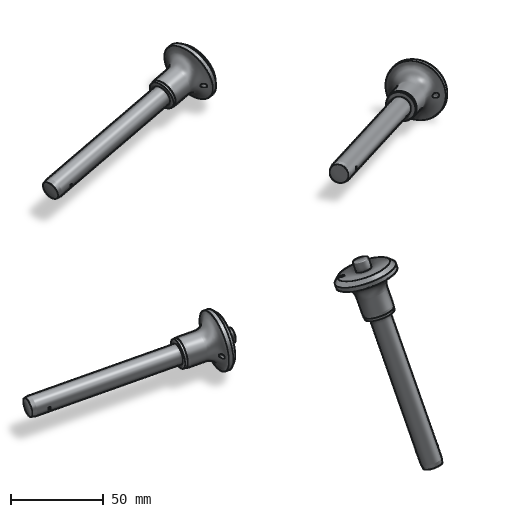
import cadquery as cq
import math


shank_radius = 12.0 / 2
shank_length = 91.1
tip_length = 2.7
tip_radius = 5.5

collar_radius = 17.8 / 2
collar_lip_radius = 17.1 / 2
collar_lip_length = 1.6
collar_taper_length = 1.8
collar_taper_end_radius = 8.75
collar_straight_length = 10.0

head_radius = 35.0 / 2
rim_width = 2.7
head_chamfer = 2.5
flare_radius = head_radius - collar_radius

button_radius = 8.9 / 2
button_edge_fillet = 0.5
overall_length = 124.2

lanyard_hole_radius = 1.5
lanyard_hole_offset = 12.5

ball_radius = 2.0
ball_protrusion = 0.2
ball_from_tip = 10.1

tip_y = -shank_length
button_end_y = overall_length - shank_length
taper_start_y = collar_lip_length
collar_start_y = taper_start_y + collar_taper_length
flare_start_y = collar_start_y + collar_straight_length
rim_start_y = flare_start_y + flare_radius
chamfer_start_y = rim_start_y + rim_width
head_top_y = chamfer_start_y + head_chamfer


def revolve_about_y(profile):
    """Close a half profile along the Y axis and turn it into a solid."""
    return profile.close().revolve(360, (0, 0, 0), (0, 1, 0))


def make_shank():
    profile = (
        cq.Workplane("XY")
        .moveTo(0, tip_y)
        .lineTo(tip_radius, tip_y)
        .lineTo(shank_radius, tip_y + tip_length)
        .lineTo(shank_radius, flare_start_y)
        .lineTo(0, flare_start_y)
    )
    return revolve_about_y(profile)


def make_handle():
    """Collar, concave quarter-circle flare and chamfered head."""
    quarter_arc_drop = flare_radius * math.sin(math.pi / 4)
    flare_middle = (head_radius - quarter_arc_drop, flare_start_y + quarter_arc_drop)
    profile = (
        cq.Workplane("XY")
        .lineTo(collar_lip_radius, 0)
        .lineTo(collar_lip_radius, taper_start_y)
        .lineTo(collar_taper_end_radius, taper_start_y)
        .lineTo(collar_radius, collar_start_y)
        .lineTo(collar_radius, flare_start_y)
        .threePointArc(flare_middle, (head_radius, rim_start_y))
        .lineTo(head_radius, chamfer_start_y)
        .lineTo(head_radius - head_chamfer, head_top_y)
        .lineTo(0, head_top_y)
    )
    return revolve_about_y(profile)


def make_button():
    button = (
        cq.Workplane("XZ", origin=(0, button_end_y, 0))
        .circle(button_radius)
        .extrude(button_end_y - flare_start_y)
    )
    return button.faces(">Y").edges().fillet(button_edge_fillet)


def make_ball(side):
    center_x = side * (shank_radius + ball_protrusion - ball_radius)
    return cq.Workplane("XY").sphere(ball_radius).translate((center_x, tip_y + ball_from_tip, 0))


def make_lanyard_hole():
    return (
        cq.Workplane("XZ", origin=(lanyard_hole_offset, head_top_y, 0))
        .circle(lanyard_hole_radius)
        .extrude(head_top_y - flare_start_y)
    )


result = make_handle().cut(make_lanyard_hole())
result = result.union(make_shank()).union(make_button())
for side in (-1, 1):
    result = result.union(make_ball(side))